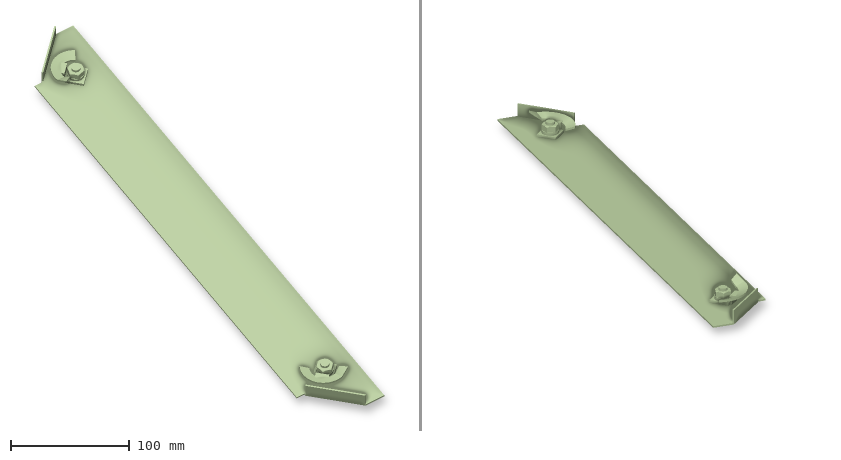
import cadquery as cq
import math

length = 482.5
width = 63.0
sheet = 1.5
end_edge = 19.0
corner_cut = 36.5
corner_step = 1.5
flange_top = 13.0

axis_x = 193.0
axis_y = -28.5
bolt_radius = 4.0
bolt_top = 14.0
head_radius = 11.0
head_height = 6.0
head_rim = 2.0
washer_radius = 7.0
washer_height = 2.5
nut_flats = 13.0
nut_height = 5.5
nut_chamfer = 0.7

base_side = 17.5
clip_thickness = 2.5
tab_width = 11.5
tab_thickness = 2.0
tab_reach = 14.5
wing_inner = 13.0
wing_outer = 21.0
wing_thickness = 2.0
wing_flare = 3.0
wing_low_angle = -76.0
wing_bend_angle = 55.0
wing_tip_angle = 80.0
wing_low_top = 10.5
wing_bend_top = 14.5
wing_tip_top = 19.0
wing_sections = 7

base_top = sheet + clip_thickness
washer_top = base_top + washer_height


def make_plate():
    """Sheet with 45 degree corner cuts and an upturned flange along each cut."""
    half = length / 2
    cut_x = half - corner_cut
    cut_y = -(end_edge + corner_cut)
    narrow_x = cut_x - corner_step
    plate = (
        cq.Workplane("XY")
        .polyline([
            (-half, 0), (half, 0), (half, -end_edge), (cut_x, cut_y), (narrow_x, cut_y),
            (narrow_x, -width), (-narrow_x, -width), (-narrow_x, cut_y), (-cut_x, cut_y),
            (-half, -end_edge),
        ])
        .close()
        .extrude(sheet)
    )
    inset = sheet / math.sqrt(2)
    for side in (-1, 1):
        flange = (
            cq.Workplane("XY")
            .polyline([
                (side * half, -end_edge), (side * cut_x, cut_y),
                (side * (cut_x - inset), cut_y + inset), (side * (half - inset), inset - end_edge),
            ])
            .close()
            .extrude(flange_top)
        )
        bolt_hole = cq.Workplane("XY").center(side * axis_x, axis_y).circle(bolt_radius).extrude(sheet)
        plate = plate.union(flange).cut(bolt_hole)
    return plate


def make_bolt():
    """Round bolt with a domed head under the plate."""
    dome_height = head_height - head_rim
    dome_radius = (head_radius**2 + dome_height**2) / (2 * dome_height)
    mid_radius = head_radius / 2
    mid_rise = dome_radius - math.sqrt(dome_radius**2 - mid_radius**2)
    dome_mid = (mid_radius, mid_rise - head_height)
    return (
        cq.Workplane("XZ")
        .moveTo(0, -head_height)
        .threePointArc(dome_mid, (head_radius, -head_rim))
        .lineTo(head_radius, 0)
        .lineTo(bolt_radius, 0)
        .lineTo(bolt_radius, bolt_top)
        .lineTo(0, bolt_top)
        .close()
        .revolve(360, (0, 0, 0), (0, 1, 0))
    )


def make_washer():
    return (
        cq.Workplane("XY", origin=(0, 0, base_top))
        .circle(washer_radius)
        .circle(bolt_radius)
        .extrude(washer_height)
    )


def make_nut():
    """Hexagonal nut with its upper corners turned off by a cone."""
    corner_radius = nut_flats / math.sqrt(3)
    hexagon = (
        cq.Workplane("XY", origin=(0, 0, washer_top))
        .polygon(6, 2 * corner_radius)
        .circle(bolt_radius)
        .extrude(nut_height)
    )
    turned = (
        cq.Workplane("XY", origin=(0, 0, washer_top))
        .circle(corner_radius)
        .extrude(nut_height)
        .faces(">Z")
        .chamfer(nut_chamfer, corner_radius - nut_flats / 2)
    )
    return hexagon.intersect(turned)


def wing_section(angle, outer_top):
    """Flared cross-section of the wing in the radial plane at the given angle."""
    across = cq.Vector(math.cos(math.radians(angle)), math.sin(math.radians(angle)), 0)
    inner_top = outer_top - wing_flare
    corners = [
        (wing_inner, inner_top), (wing_outer, outer_top),
        (wing_outer, outer_top - wing_thickness), (wing_inner, inner_top - wing_thickness),
    ]
    points = [across * radius + cq.Vector(0, 0, height) for radius, height in corners]
    return cq.Wire.makePolygon(points, close=True)


def make_wing():
    """Arc that climbs gently around the bolt and ends in a steeper tip."""
    sections = []
    for index in range(wing_sections):
        part = index / (wing_sections - 1)
        angle = wing_low_angle + part * (wing_bend_angle - wing_low_angle)
        outer_top = wing_low_top + part * (wing_bend_top - wing_low_top)
        sections.append(wing_section(angle, outer_top))
    tip_end = wing_section(wing_tip_angle, wing_tip_top)
    arc = cq.Solid.makeLoft(sections)
    tip = cq.Solid.makeLoft([sections[-1], tip_end], True)
    return cq.Workplane(arc).union(cq.Workplane(tip))


def make_clip():
    """Clip around the Z axis, with its tab and wing on the +X side."""
    base = (
        cq.Workplane("XY", origin=(0, 0, sheet))
        .rect(base_side, base_side)
        .circle(bolt_radius)
        .extrude(clip_thickness)
    )
    edge = base_side / 2
    wing_middle = wing_low_angle / (wing_low_angle - wing_bend_angle)
    wing_top = wing_low_top + wing_middle * (wing_bend_top - wing_low_top) - wing_flare
    tab_face = edge + tab_thickness
    tab = (
        cq.Workplane("XZ")
        .polyline([
            (edge, sheet), (edge, wing_top), (tab_reach, wing_top),
            (tab_reach, wing_top - tab_thickness), (tab_face, wing_top - tab_thickness),
            (tab_face, sheet),
        ])
        .close()
        .extrude(tab_width / 2, both=True)
    )
    return base.union(tab).union(make_wing())


def place(body, side, turn):
    """Turn a body about the bolt axis and move it to one end of the plate."""
    return body.rotate((0, 0, 0), (0, 0, 1), turn).translate((side * axis_x, axis_y, 0))


bodies = [make_plate().solids().val()]
for side, outward in ((-1, 225), (1, 315)):
    for make_body in (make_bolt, make_clip, make_washer, make_nut):
        bodies.append(place(make_body(), side, outward).solids().val())

result = cq.Compound.makeCompound(bodies)